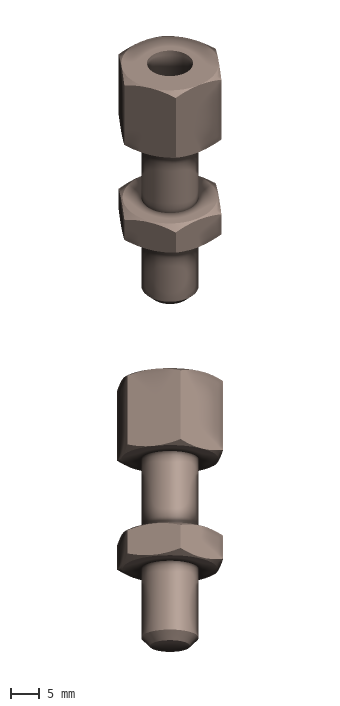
import cadquery as cq
import math

total_height = 48.0
across_flats = 17.0
across_corners = across_flats / math.cos(math.radians(30))

shank_diameter = 10.0
tip_chamfer = 1.5
head_height = 14.0
head_face_diameter = across_flats
socket_diameter = 8.0
socket_depth = head_height

nut_height = 6.0
nut_bottom = 14.0
nut_face_diameter = 16.5

corner_angle = 30.0


def hex_prism(height, face_diameter):
    """Hexagon with corners on the Y axis, its ends turned to round faces of face_diameter."""
    prism = (
        cq.Workplane("XY")
        .polygon(6, across_corners)
        .extrude(height)
        .rotate((0, 0, 0), (0, 0, 1), 90)
    )
    face_radius = face_diameter / 2
    rim_radius = across_corners / 2 + 0.5
    drop = (rim_radius - face_radius) * math.tan(math.radians(corner_angle))
    turned_envelope = (
        cq.Workplane("XZ")
        .moveTo(0, 0)
        .lineTo(face_radius, 0)
        .lineTo(rim_radius, drop)
        .lineTo(rim_radius, height - drop)
        .lineTo(face_radius, height)
        .lineTo(0, height)
        .close()
        .revolve(360, (0, 0, 0), (0, 1, 0))
    )
    return prism.intersect(turned_envelope)


def make_bolt():
    """Hexagon head on a plain shank with a chamfered tip and a blind hole in the head."""
    head_bottom = total_height - head_height
    head = hex_prism(head_height, head_face_diameter).translate((0, 0, head_bottom))
    shank = (
        cq.Workplane("XY")
        .circle(shank_diameter / 2)
        .extrude(head_bottom)
        .faces("<Z")
        .chamfer(tip_chamfer)
    )
    socket = (
        cq.Workplane("XY")
        .workplane(offset=total_height - socket_depth)
        .circle(socket_diameter / 2)
        .extrude(socket_depth)
    )
    return head.union(shank).cut(socket)


def make_nut():
    """Hexagon nut whose bore fits the shank."""
    bore = cq.Workplane("XY").circle(shank_diameter / 2).extrude(nut_height)
    nut = hex_prism(nut_height, nut_face_diameter).cut(bore)
    return nut.translate((0, 0, nut_bottom))


bolt = make_bolt()
nut = make_nut()
result = cq.Compound.makeCompound([bolt.val(), nut.val()])